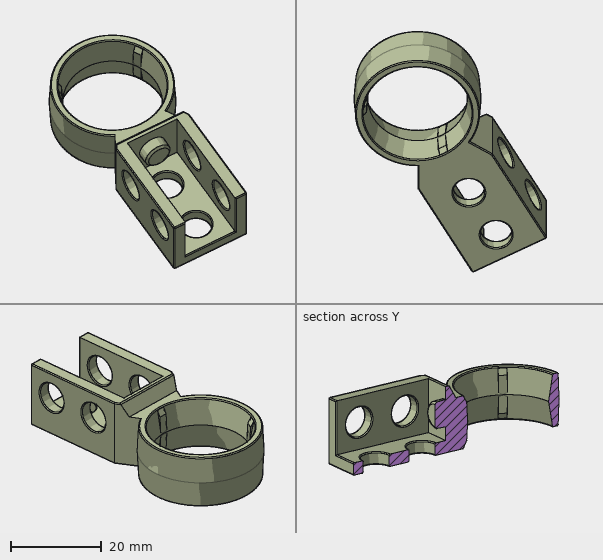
import cadquery as cq
import math

UNIT = 12.5
GRID_WALL = UNIT / 4
CLEARANCE = 0.125
CHAMFER = 0.25

RING_HEIGHT = UNIT
RING_MID_Z = RING_HEIGHT / 2
RING_MID_RADIUS = 14.015
RING_END_RADIUS = 13.72
BORE_MID_RADIUS = 10.95
BORE_END_RADIUS = 12.03
ROOT_RADIUS = 12.8

RIB_COUNT = 3
RIB_WIDTH = 2.0
RIB_MID_RADIUS = 10.97
RIB_END_RADIUS = 11.24
RIB_LENGTH = 8.9
RUNOUT_ANGLE = 28

BLOCK_START = 17.235
BLOCK_LENGTH = 2 * UNIT
BLOCK_END = BLOCK_START + BLOCK_LENGTH
BLOCK_WIDTH = 1.5 * UNIT
BLOCK_HEIGHT = RING_HEIGHT + GRID_WALL
SLOPE_START = 14.25
SLOPE_ANGLE = 60

FORK_WALL = GRID_WALL - CLEARANCE
CHANNEL_START = BLOCK_START - CLEARANCE
CHANNEL_WIDTH = BLOCK_WIDTH - 2 * FORK_WALL

HOLE_DIAMETER = 7.0
HOLE_XS = [BLOCK_START + UNIT / 2, BLOCK_START + 3 * UNIT / 2]
HOLE_Z = 0.75 * UNIT

PIN_ROOT_RADIUS = 3.25
PIN_TIP_RADIUS = 3.15
PIN_LENGTH = 2.9
PIN_CHAMFER = 0.5


def revolve_about_z(profile):
    """Revolve a closed XZ profile one full turn about the Z axis."""
    return profile.revolve(360, (0, 0, 0), (0, 1, 0))


def ring():
    """Ring that is widest outside, and narrowest inside, at mid height."""
    upper_half = revolve_about_z(
        cq.Workplane("XZ")
        .moveTo(BORE_MID_RADIUS, RING_MID_Z)
        .lineTo(BORE_END_RADIUS, RING_HEIGHT - CHAMFER)
        .lineTo(BORE_END_RADIUS + CHAMFER, RING_HEIGHT)
        .lineTo(RING_END_RADIUS - CHAMFER, RING_HEIGHT)
        .lineTo(RING_END_RADIUS, RING_HEIGHT - CHAMFER)
        .lineTo(RING_MID_RADIUS, RING_MID_Z)
        .close()
    )
    return upper_half.union(upper_half.mirror("XY", (0, 0, RING_MID_Z)))


def rib(angle):
    """Rib on the bore wall, at the given angle about Z from +X."""
    face_half = RIB_LENGTH / 2
    end_half = RING_HEIGHT / 2 - CHAMFER
    runout_depth = (end_half - face_half) * math.tan(math.radians(RUNOUT_ANGLE))
    runout_radius = RIB_END_RADIUS + runout_depth
    return (
        cq.Workplane("XZ", origin=(0, 0, RING_MID_Z))
        .moveTo(ROOT_RADIUS, -end_half)
        .lineTo(runout_radius, -end_half)
        .lineTo(RIB_END_RADIUS, -face_half)
        .lineTo(RIB_MID_RADIUS, 0)
        .lineTo(RIB_END_RADIUS, face_half)
        .lineTo(runout_radius, end_half)
        .lineTo(ROOT_RADIUS, end_half)
        .close()
        .extrude(RIB_WIDTH / 2, both=True)
        .rotate((0, 0, 0), (0, 0, 1), angle)
    )


def channel():
    """Open-topped channel that flares by the chamfer size at its +X mouth."""
    height = 2 * BLOCK_HEIGHT
    straight = (
        cq.Workplane("YZ", origin=(CHANNEL_START, 0, FORK_WALL + height / 2))
        .rect(CHANNEL_WIDTH, height)
        .extrude(BLOCK_END - CHAMFER - CHANNEL_START)
    )
    mouth = straight.faces(">X").wires().toPending().extrude(CHAMFER, taper=-45, combine=False)
    return straight.union(mouth)


def fork_and_neck():
    """Fork block with a neck whose sides aim at the ring axis and whose top slopes down to the ring."""
    half_width = BLOCK_WIDTH / 2
    corners = [
        (0, 0),
        (BLOCK_START, -half_width),
        (BLOCK_END, -half_width),
        (BLOCK_END, half_width),
        (BLOCK_START, half_width),
    ]
    block = cq.Workplane("XY").polyline(corners).close().extrude(BLOCK_HEIGHT)

    rise = BLOCK_HEIGHT - RING_HEIGHT
    slope_end = SLOPE_START + rise / math.tan(math.radians(SLOPE_ANGLE))
    above_neck = (
        cq.Workplane("XZ")
        .moveTo(0, RING_HEIGHT)
        .lineTo(SLOPE_START, RING_HEIGHT)
        .lineTo(slope_end, BLOCK_HEIGHT)
        .lineTo(0, BLOCK_HEIGHT)
        .close()
        .extrude(half_width, both=True)
    )
    block = block.cut(above_neck).faces(">Z or <Z or >X").chamfer(CHAMFER)
    ring_space = cq.Workplane("XY").circle(ROOT_RADIUS).extrude(BLOCK_HEIGHT)
    return block.cut(channel()).cut(ring_space)


def wall_hole():
    """Hole along +Z from the origin through one wall thickness, chamfered at both ends."""
    radius = HOLE_DIAMETER / 2
    return revolve_about_z(
        cq.Workplane("XZ")
        .lineTo(radius + CHAMFER, 0)
        .lineTo(radius, CHAMFER)
        .lineTo(radius, FORK_WALL - CHAMFER)
        .lineTo(radius + CHAMFER, FORK_WALL)
        .lineTo(0, FORK_WALL)
        .close()
    )


def pin():
    """Pin pointing along +X from the closed end of the channel."""
    upright = revolve_about_z(
        cq.Workplane("XZ")
        .lineTo(PIN_ROOT_RADIUS, 0)
        .lineTo(PIN_TIP_RADIUS, PIN_LENGTH - PIN_CHAMFER)
        .lineTo(PIN_TIP_RADIUS - PIN_CHAMFER, PIN_LENGTH)
        .lineTo(0, PIN_LENGTH)
        .close()
    )
    return upright.rotate((0, 0, 0), (0, 1, 0), 90).translate((CHANNEL_START, 0, HOLE_Z))


result = ring().union(fork_and_neck())

for index in range(RIB_COUNT):
    result = result.union(rib(index * 360 / RIB_COUNT))

floor_hole = wall_hole()
side_hole = wall_hole().rotate((0, 0, 0), (1, 0, 0), 90)
for hole_x in HOLE_XS:
    result = result.cut(floor_hole.translate((hole_x, 0, 0)))
    for start_y in (BLOCK_WIDTH / 2, -CHANNEL_WIDTH / 2):
        result = result.cut(side_hole.translate((hole_x, start_y, HOLE_Z)))

result = result.union(pin())